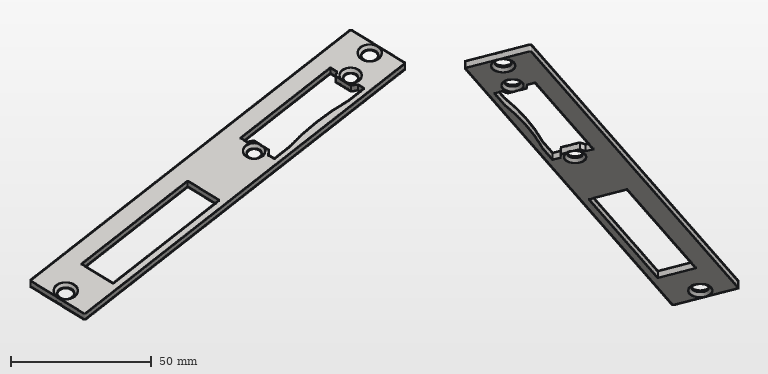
import cadquery as cq
import math

length = 172.0
width = 26.0
thickness = 3.0
corner_radius = 0.3

fixing_hole_y = 81.5
fixing_bore = 6.0
fixing_sink = 8.6

opening_x = 2.5
window_y = 42.5
window_width = 16.0
window_length = 48.2
bulge_height = 1.2
bulge_half_length = 15.8

tab_reach = 2.0
tab_base_width = 10.0
tab_tip_width = 7.4
tab_hole_spacing = 51.8
tab_bore = 5.3
tab_sink = 7.9

slot_y = -39.0
slot_width = 15.0
slot_length = 57.0

sink_angle = 90.0


def window_cutter():
    """Latch window: tabs at both ends and a shallow bulge on the +X side."""
    half_width = window_width / 2
    half_length = window_length / 2
    tip_y = half_length - tab_reach
    base_x = tab_base_width / 2
    tip_x = tab_tip_width / 2
    return (
        cq.Workplane("XY")
        .center(opening_x, window_y)
        .moveTo(-half_width, -half_length)
        .lineTo(-base_x, -half_length)
        .lineTo(-tip_x, -tip_y)
        .lineTo(tip_x, -tip_y)
        .lineTo(base_x, -half_length)
        .lineTo(half_width, -half_length)
        .lineTo(half_width, -bulge_half_length)
        .threePointArc((half_width - bulge_height, 0), (half_width, bulge_half_length))
        .lineTo(half_width, half_length)
        .lineTo(base_x, half_length)
        .lineTo(tip_x, tip_y)
        .lineTo(-tip_x, tip_y)
        .lineTo(-base_x, half_length)
        .lineTo(-half_width, half_length)
        .close()
        .extrude(thickness)
    )


def slot_cutter():
    """Plain rectangular deadbolt slot."""
    return (
        cq.Workplane("XY")
        .center(opening_x, slot_y)
        .rect(slot_width, slot_length)
        .extrude(thickness)
    )


def hole_cutter(bore, sink):
    """Through hole countersunk from both faces of the plate."""
    bore_radius = bore / 2
    sink_radius = sink / 2
    sink_depth = (sink_radius - bore_radius) / math.tan(math.radians(sink_angle / 2))
    return (
        cq.Workplane("XZ")
        .moveTo(0, 0)
        .lineTo(sink_radius, 0)
        .lineTo(bore_radius, sink_depth)
        .lineTo(bore_radius, thickness - sink_depth)
        .lineTo(sink_radius, thickness)
        .lineTo(0, thickness)
        .close()
        .revolve(360, (0, 0, 0), (0, 1, 0))
    )


plate = cq.Workplane("XY").box(width, length, thickness, centered=(True, True, False))
plate = plate.edges("|Z").fillet(corner_radius)
plate = plate.cut(window_cutter()).cut(slot_cutter())

fixing_hole = hole_cutter(fixing_bore, fixing_sink)
tab_hole = hole_cutter(tab_bore, tab_sink)
for side in (-1, 1):
    tab_hole_y = window_y + side * tab_hole_spacing / 2
    plate = plate.cut(fixing_hole.translate((0, side * fixing_hole_y, 0)))
    plate = plate.cut(tab_hole.translate((opening_x, tab_hole_y, 0)))

result = plate